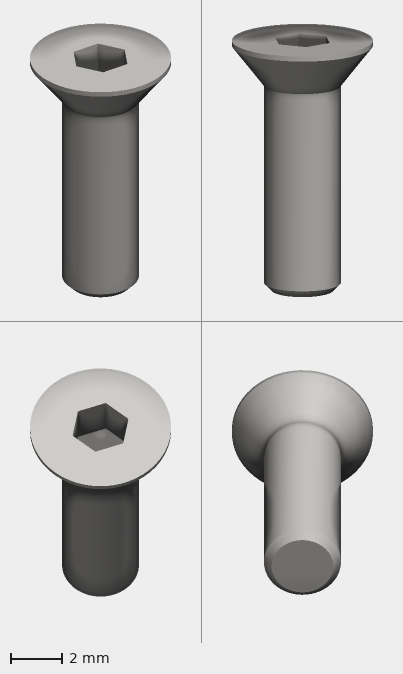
import cadquery as cq
import math

length = 10.0
shank_diameter = 3.0
tip_chamfer = 0.3

head_diameter = 5.5
head_height = 1.8
rim_height = 0.2

socket_across_flats = 2.0
socket_depth = 1.8

head_radius = head_diameter / 2
shank_radius = shank_diameter / 2


def screw_body():
    """Revolve the half profile about Z, with the tip at Z = 0."""
    return (
        cq.Workplane("XZ")
        .lineTo(shank_radius - tip_chamfer, 0)
        .lineTo(shank_radius, tip_chamfer)
        .lineTo(shank_radius, length - head_height)
        .lineTo(head_radius, length - rim_height)
        .lineTo(head_radius, length)
        .lineTo(0, length)
        .close()
        .revolve(360, (0, 0), (0, 1))
    )


def hex_socket():
    """Blind hexagonal prism whose flats face +X and -X."""
    across_corners = socket_across_flats / math.cos(math.radians(30))
    return (
        cq.Workplane("XY", origin=(0, 0, length - socket_depth))
        .transformed(rotate=(0, 0, 30))
        .polygon(6, across_corners)
        .extrude(socket_depth)
    )


result = screw_body().cut(hex_socket())